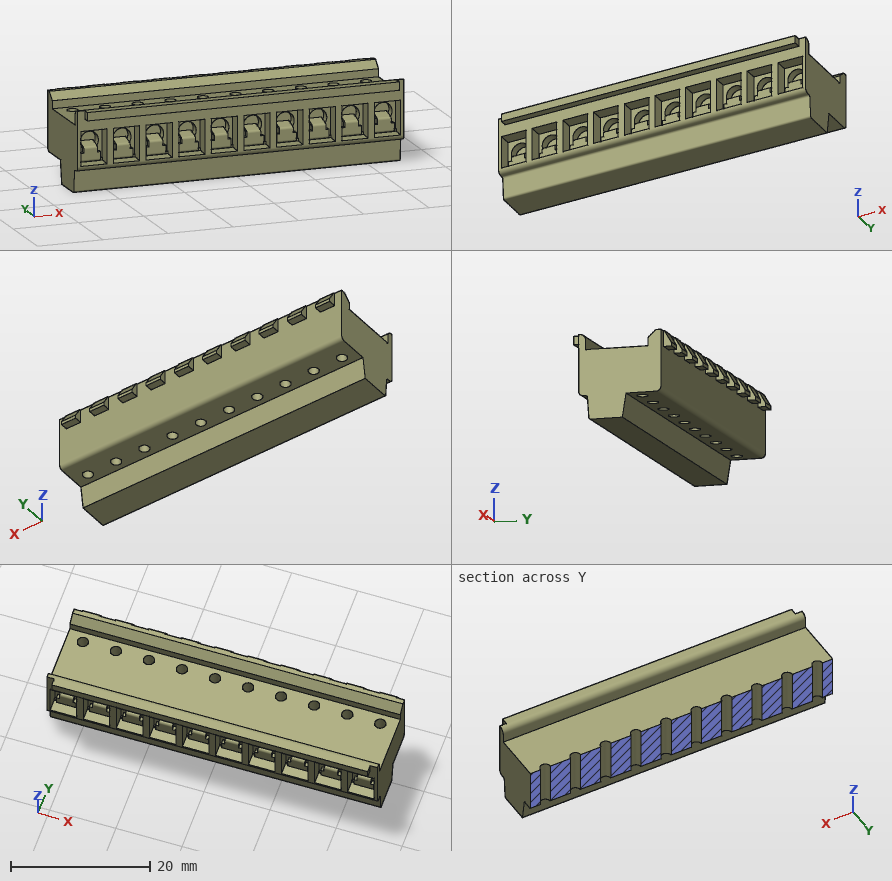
import cadquery as cq

length = 50.0
pole_count = 10
pitch = length / pole_count

height = 12.55
body_depth = 12.4
body_bottom = 3.5
deck = 10.25
lip_thickness = 1.05
lip_radius = 0.9
ridge_crest_front = 11.65
ridge_foot = 10.45
ridge_slope_end = 11.45
body_edge_radius = 0.7

tail_top_front = 1.3
tail_top_rear = 7.15
tail_tip_front = 1.55
tail_tip_rear = 6.6
tail_radius = 0.3

ledge_reach = 1.1
ledge_height = 1.25
ledge_end_margin = 1.1
hook_width = 2.5
hook_reach = 1.2
hook_crest = 0.15
hook_tip = 10.8

hole_diameter = 1.6
hole_y = 8.85

entry_mouth_width = 4.0
entry_rear_width = 3.9
entry_top = 9.5
entry_depth = 1.95
sill = 4.3
floor_rear = 4.45
inner_ledge_front = 1.7
inner_ledge_top = 4.8

bore_diameter = 2.8
bore_z = 7.45
bore_end = 3.25

clamp_front = 1.3
clamp_width = 3.0
clamp_shoulder = 5.85
neck_width = 2.1
neck_front_top = 6.65
neck_rear_top = 7.2
neck_radius = 0.4
base_radius = 0.35


def extrude_along_x(section, width, center=0.0):
    """Extrude a closed YZ section symmetrically about X = center."""
    return section.extrude(width / 2, both=True).translate((center, 0, 0))


def box(x_center, width, y_min, y_max, z_min, z_max):
    """Box centred on x_center in X and given by its limits in Y and Z."""
    solid = cq.Workplane("XY").box(width, y_max - y_min, z_max - z_min, centered=(True, False, False))
    return solid.translate((x_center, y_min, z_min))


def make_housing():
    section = (
        cq.Workplane("YZ")
        .moveTo(0, height)
        .lineTo(lip_thickness - lip_radius, height)
        .radiusArc((lip_thickness, height - lip_radius), lip_radius)
        .lineTo(lip_thickness, deck)
        .lineTo(ridge_foot, deck)
        .lineTo(ridge_foot, ridge_slope_end)
        .lineTo(ridge_crest_front, height)
        .lineTo(body_depth, height)
        .lineTo(body_depth, body_bottom)
        .lineTo(tail_top_rear, body_bottom)
        .lineTo(tail_tip_rear, 0)
        .lineTo(tail_tip_front, 0)
        .lineTo(tail_top_front, body_bottom)
        .lineTo(0, body_bottom)
        .close()
    )
    housing = extrude_along_x(section, length)
    for y in (0, body_depth):
        corner = cq.NearestToPointSelector((0, y, body_bottom))
        housing = housing.edges("|X").edges(corner).fillet(body_edge_radius)
    for y, z in ((tail_top_front, body_bottom), (tail_tip_front, 0)):
        corner = cq.NearestToPointSelector((0, y, z))
        housing = housing.edges("|X").edges(corner).fillet(tail_radius)
    return housing


def make_ledge():
    return box(0, length - 2 * ledge_end_margin, -ledge_reach, 0, height - ledge_height, height)


def make_hook(x):
    section = (
        cq.Workplane("YZ")
        .moveTo(body_depth, deck)
        .lineTo(body_depth + hook_reach, deck)
        .lineTo(body_depth + hook_reach, hook_tip)
        .lineTo(body_depth + hook_crest, height)
        .lineTo(body_depth, height)
        .close()
    )
    return extrude_along_x(section, hook_width, x)


def make_screw_hole(x):
    return cq.Workplane("XY").center(x, hole_y).circle(hole_diameter / 2).extrude(height)


def make_wire_entry(x):
    plan = (
        cq.Workplane("XY", origin=(x, 0, 0))
        .moveTo(-entry_mouth_width / 2, 0)
        .lineTo(entry_mouth_width / 2, 0)
        .lineTo(entry_rear_width / 2, entry_depth)
        .lineTo(-entry_rear_width / 2, entry_depth)
        .close()
        .extrude(entry_top)
    )
    side_section = (
        cq.Workplane("YZ")
        .moveTo(0, sill)
        .lineTo(inner_ledge_front, floor_rear)
        .lineTo(inner_ledge_front, inner_ledge_top)
        .lineTo(entry_depth, inner_ledge_top)
        .lineTo(entry_depth, entry_top)
        .lineTo(0, entry_top)
        .close()
    )
    pocket = plan.intersect(extrude_along_x(side_section, entry_mouth_width, x))
    bore = (
        cq.Workplane("XZ", origin=(x, entry_depth, bore_z))
        .circle(bore_diameter / 2)
        .extrude(entry_depth - bore_end)
    )
    return pocket.union(bore)


def make_clamp(x):
    base = box(x, clamp_width, clamp_front, entry_depth, floor_rear, clamp_shoulder)
    base = base.edges("|X and <Y and <Z").fillet(base_radius)
    neck_section = (
        cq.Workplane("YZ")
        .moveTo(clamp_front, clamp_shoulder)
        .lineTo(clamp_front, neck_front_top)
        .lineTo(bore_end, neck_rear_top)
        .lineTo(bore_end, clamp_shoulder)
        .close()
    )
    neck = extrude_along_x(neck_section, neck_width, x)
    neck_front_edge = cq.NearestToPointSelector((x, clamp_front, neck_front_top))
    neck = neck.edges("|X").edges(neck_front_edge).fillet(neck_radius)
    return base.union(neck)


result = make_housing().union(make_ledge())
for pole in range(pole_count):
    pole_x = (pole - (pole_count - 1) / 2) * pitch
    result = result.union(make_hook(pole_x))
    result = result.cut(make_screw_hole(pole_x))
    result = result.cut(make_wire_entry(pole_x))
    result = result.union(make_clamp(pole_x))